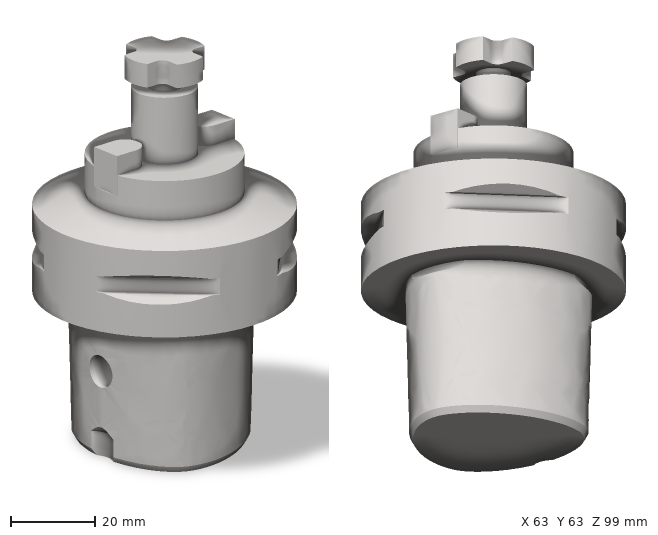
import cadquery as cq
import math


clearance = 1.0

flange_diameter = 63.0
flange_height = 22.0
shoulder_height = 25.0

seat_diameter = 38.0
seat_height = 35.0
pilot_diameter = 16.0
pilot_height = 52.0

neck_diameter = 8.4
head_bottom = 55.0
head_top = 61.0
head_diameter = 20.0
head_arm_width = 8.2
head_corner_radius = 2.0

key_width = 8.2
key_bottom = 30.0
key_top = 40.0
key_outer_reach = 18.7
key_inner_reach = 8.5

slot_angles = (45, 135, 225, 315)
slot_middle_height = 12.0
slot_floor_width = 4.2
slot_floor_distance = 27.75
slot_wall_depth = 1.0
slot_flare_angle = 30.0

shank_length = 38.0
shank_mean_radius = 22.15
shank_eccentricity = 1.4
collar_length = 3.0
taper_ratio = 1 / 20
chamfer_height = 1.6
chamfer_angle = 30.0

relief_radius = 22.4
relief_wall_length = 0.6
relief_fillet_radius = 1.6

coding_hole_diameter = 8.2
coding_hole_tip_half_angle = 59.0
coding_hole_level = -15.5
coding_hole_depth = 6.0

notch_radius = 5.4
notch_tip_half_angle = 45.0
notch_axis_distance = 23.4
notch_height = 6.1


def lobed_wire(mean_radius, level):
    """Constant-width outline with one lobe on +Y and a flattened side on -Y."""

    def point(t):
        angle = 2 * math.pi * t
        along = mean_radius * math.cos(angle)
        along += shank_eccentricity * (2 * math.cos(2 * angle) - math.cos(4 * angle))
        across = mean_radius * math.sin(angle)
        across -= shank_eccentricity * (2 * math.sin(2 * angle) + math.sin(4 * angle))
        return (-across, along, level)

    outline_points = 72
    points = [cq.Vector(*point(i / outline_points)) for i in range(outline_points)]
    return cq.Wire.assembleEdges([cq.Edge.makeSpline(points, periodic=True)])


def lobed_solid(top_radius, top_level, bottom_radius, bottom_level):
    """Solid between two lobed outlines, joined by straight lines."""
    wires = [lobed_wire(bottom_radius, bottom_level), lobed_wire(top_radius, top_level)]
    return cq.Workplane(obj=cq.Solid.makeLoft(wires, True))


def make_shank():
    """Straight collar, long taper and chamfered tip."""
    chamfer_level = -shank_length + chamfer_height
    taper_length = -collar_length - chamfer_level
    end_radius = shank_mean_radius - taper_length * taper_ratio / 2
    tip_radius = end_radius - chamfer_height * math.tan(math.radians(chamfer_angle))
    collar = lobed_solid(shank_mean_radius, 0, shank_mean_radius, -collar_length)
    taper = lobed_solid(shank_mean_radius, -collar_length, end_radius, chamfer_level)
    tip = lobed_solid(end_radius, chamfer_level, tip_radius, -shank_length)
    return collar.union(taper).union(tip)


def make_relief():
    """Ring whose inner surface trims the lobes under the flange."""
    relief_length = relief_wall_length + relief_fillet_radius
    return (
        cq.Workplane("XZ")
        .moveTo(relief_radius, 0)
        .lineTo(relief_radius, -relief_wall_length)
        .tangentArcPoint((relief_radius + relief_fillet_radius, -relief_length), relative=False)
        .lineTo(flange_diameter / 2, -relief_length)
        .lineTo(flange_diameter / 2, 0)
        .close()
        .revolve(360, (0, 0, 0), (0, 1, 0))
    )


def make_drill(radius, depth, tip_half_angle):
    """Drill body along +Z from the origin, with its conical point beyond the depth."""
    tip_length = radius / math.tan(math.radians(tip_half_angle))
    return (
        cq.Workplane("XZ")
        .polyline([(0, 0), (radius, 0), (radius, depth), (0, depth + tip_length)])
        .close()
        .revolve(360, (0, 0, 0), (0, 1, 0))
    )


def make_coding_hole():
    """Blind radial hole entering from -Y."""
    flat_distance = shank_mean_radius - shank_eccentricity
    drill = make_drill(coding_hole_diameter / 2, coding_hole_depth, coding_hole_tip_half_angle)
    drill = drill.rotate((0, 0, 0), (1, 0, 0), -90)
    return drill.translate((0, -flat_distance, coding_hole_level))


def make_notch():
    """Axial scallop in the flattened side, open at the shank end, with a conical top."""
    cutter = make_drill(notch_radius, notch_height, notch_tip_half_angle)
    return cutter.translate((0, -notch_axis_distance, -shank_length))


def make_body():
    """Turned flange, cutter seat, pilot and screw neck."""
    return (
        cq.Workplane("XZ")
        .moveTo(0, 0)
        .lineTo(flange_diameter / 2, 0)
        .lineTo(flange_diameter / 2, flange_height)
        .lineTo(seat_diameter / 2, shoulder_height)
        .lineTo(seat_diameter / 2, seat_height)
        .lineTo(pilot_diameter / 2, seat_height)
        .lineTo(pilot_diameter / 2, pilot_height)
        .lineTo(neck_diameter / 2, pilot_height)
        .lineTo(neck_diameter / 2, head_bottom)
        .lineTo(0, head_bottom)
        .close()
        .revolve(360, (0, 0, 0), (0, 1, 0))
    )


def make_head():
    """Round screw head cut to a cross with filleted inner corners."""
    thickness = head_top - head_bottom
    base = cq.Workplane("XY").workplane(offset=head_bottom)
    corner_reach = head_arm_width / 2 + clearance
    cross = base.rect(head_diameter, head_arm_width).extrude(thickness)
    cross = cross.union(base.rect(head_arm_width, head_diameter).extrude(thickness))
    inner_corners = cq.selectors.BoxSelector(
        (-corner_reach, -corner_reach, head_bottom),
        (corner_reach, corner_reach, head_top),
    )
    cross = cross.edges("|Z").edges(inner_corners).fillet(head_corner_radius)
    return cross.intersect(base.circle(head_diameter / 2).extrude(thickness))


def make_gripper_slot(angle):
    """Straight slot across the rim: flat floor, short straight walls, flared mouth."""
    half_floor = slot_floor_width / 2
    flare_start = slot_floor_distance + slot_wall_depth
    rim = flange_diameter / 2 + clearance
    half_mouth = half_floor + (rim - flare_start) * math.tan(math.radians(slot_flare_angle))
    lower_side = [
        (slot_floor_distance, -half_floor),
        (flare_start, -half_floor),
        (rim, -half_mouth),
    ]
    upper_side = [(distance, -height) for distance, height in reversed(lower_side)]
    return (
        cq.Workplane("XZ")
        .polyline(lower_side + upper_side)
        .close()
        .extrude(flange_diameter / 2, both=True)
        .translate((0, 0, slot_middle_height))
        .rotate((0, 0, 0), (0, 0, 1), angle)
    )


def make_key_seat(side):
    """Sliver of the seat rim removed so that the flat outer end of the key is exposed."""
    length = seat_diameter / 2 - key_outer_reach
    middle = side * (seat_diameter / 2 - length / 2)
    return (
        cq.Workplane("XY")
        .workplane(offset=key_bottom)
        .center(0, middle)
        .rect(key_width, length)
        .extrude(seat_height - key_bottom)
    )


def make_key(side):
    """Drive key with a flat outer end and a half-round inner end."""
    half_width = key_width / 2
    straight_end = key_inner_reach + half_width
    return (
        cq.Workplane("XY")
        .workplane(offset=key_bottom)
        .moveTo(-half_width, side * key_outer_reach)
        .lineTo(half_width, side * key_outer_reach)
        .lineTo(half_width, side * straight_end)
        .threePointArc((0, side * key_inner_reach), (-half_width, side * straight_end))
        .close()
        .extrude(key_top - key_bottom)
    )


shank = make_shank().cut(make_relief()).cut(make_coding_hole()).cut(make_notch())

result = make_body().union(make_head())
for slot_angle in slot_angles:
    result = result.cut(make_gripper_slot(slot_angle))
for key_side in (-1, 1):
    result = result.cut(make_key_seat(key_side)).union(make_key(key_side))
result = result.union(shank)